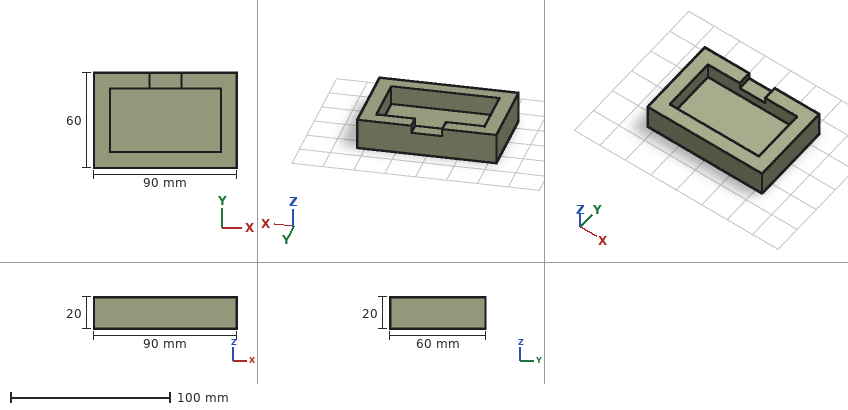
import cadquery as cq

length = 90.0
width = 60.0
height = 20.0

wall = 10.0
pocket_depth = 12.5

notch_width = 20.0
notch_depth = 5.0


def cut_block(size_x, size_y, depth, center_y):
    """Cutting block that reaches down from the top face, centred on X = 0."""
    return (
        cq.Workplane("XY")
        .box(size_x, size_y, depth, centered=(True, True, False))
        .translate((0, center_y, height - depth))
    )


block = cq.Workplane("XY").box(length, width, height, centered=(True, True, False))
pocket = cut_block(length - 2 * wall, width - 2 * wall, pocket_depth, 0)
notch = cut_block(notch_width, wall, notch_depth, (width - wall) / 2)

result = block.cut(pocket).cut(notch)